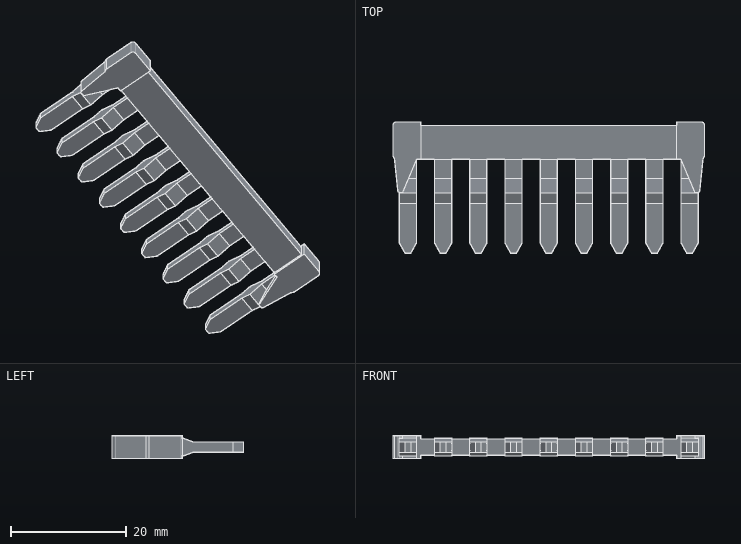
import cadquery as cq


overall_length = 54.0
overall_depth = 22.78

cap_thickness = 4.0
cap_width = 4.85
cap_back = 6.5
cap_tip_y = -5.7
cap_corner_radius = 0.6
cap_tip_radius = 0.3
cap_step_start_y = 0.6
cap_step_end_y = 0.1
cap_step_inset = 0.25
cap_tip_outer_inset = 0.85
cap_tip_inner_inset = 1.7

bar_thickness = 2.9
bar_back_setback = 0.6
bar_back = cap_back - bar_back_setback

prong_count = 9
prong_pitch = 6.1
prong_width = 3.0
prong_thickness = 1.8
prong_root_thickness = 1.2
prong_tip_width = 1.0
prong_tip_y = cap_back - overall_depth
prong_taper_length = 1.8
prong_taper_y = prong_tip_y + prong_taper_length
bulge_thickness = 3.1
bulge_start_y = -3.3
bulge_peak_y = -5.85
bulge_end_y = -7.6

half_length = overall_length / 2
cap_inner_x = -half_length + cap_width
prong_row_half = prong_pitch * (prong_count - 1) / 2
end_prong_inner_x = -prong_row_half + prong_width / 2


def make_bar():
    """Flat bar spanning between the inner faces of the two caps."""
    bar_length = 2 * abs(cap_inner_x)
    return cq.Workplane("XY").box(bar_length, bar_back, bar_thickness, centered=(True, False, True))


def make_left_cap():
    """Cap at the -X end, with a wing that narrows along the end prong."""
    outer_x = -half_length
    tip_outer = (outer_x + cap_tip_outer_inset, cap_tip_y)
    outline = [
        (cap_inner_x, cap_back),
        (outer_x, cap_back),
        (outer_x, cap_step_start_y),
        (outer_x + cap_step_inset, cap_step_end_y),
        tip_outer,
        (outer_x + cap_tip_inner_inset, cap_tip_y),
        (end_prong_inner_x, 0),
        (cap_inner_x, 0),
    ]
    cap = cq.Workplane("XY").polyline(outline).close().extrude(cap_thickness / 2, both=True)
    back_corner = cq.selectors.NearestToPointSelector((outer_x, cap_back, 0))
    tip_corner = cq.selectors.NearestToPointSelector((*tip_outer, 0))
    cap = cap.edges("|Z").edges(back_corner).fillet(cap_corner_radius)
    return cap.edges("|Z").edges(tip_corner).fillet(cap_tip_radius)


def make_prong():
    """Prong centred on X = 0: the bulged side profile trimmed to the pointed plan outline."""
    half_thickness = prong_thickness / 2
    half_root = prong_root_thickness / 2
    half_bulge = bulge_thickness / 2
    upper_profile = [
        (0, half_root),
        (bulge_start_y, half_root),
        (bulge_peak_y, half_bulge),
        (bulge_end_y, half_thickness),
        (prong_tip_y, half_thickness),
    ]
    lower_profile = [(y, -z) for y, z in reversed(upper_profile)]
    side = cq.Workplane("YZ").polyline(upper_profile + lower_profile).close()
    side = side.extrude(prong_width / 2, both=True)

    right_outline = [
        (prong_width / 2, 0),
        (prong_width / 2, prong_taper_y),
        (prong_tip_width / 2, prong_tip_y),
    ]
    left_outline = [(-x, y) for x, y in reversed(right_outline)]
    plan = cq.Workplane("XY").polyline(right_outline + left_outline).close()
    plan = plan.extrude(bulge_thickness, both=True)
    return side.intersect(plan)


left_cap = make_left_cap()
result = make_bar().union(left_cap).union(left_cap.mirror("YZ"))

prong = make_prong()
for index in range(prong_count):
    prong_x = index * prong_pitch - prong_row_half
    result = result.union(prong.translate((prong_x, 0, 0)))